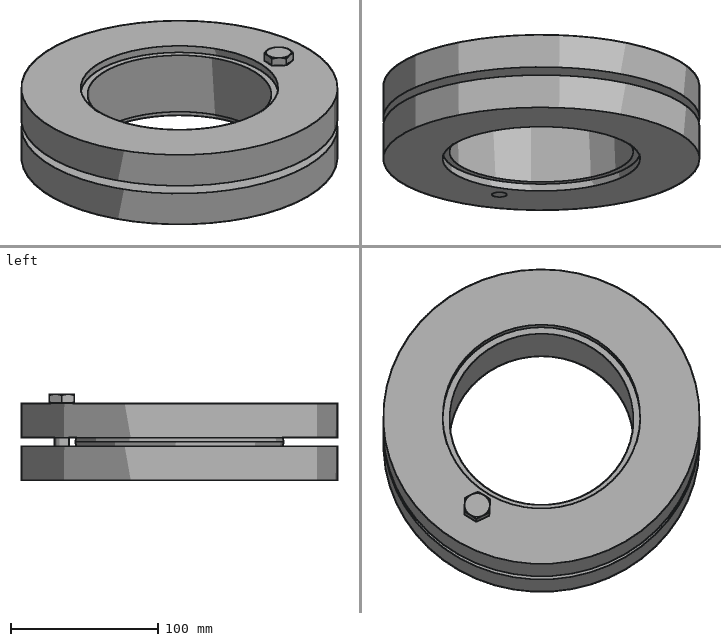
import cadquery as cq
import math

flange_diameter = 215.0
flange_thickness = 23.2
flange_gap = 5.8
upper_flange_base = flange_thickness + flange_gap
stack_height = upper_flange_base + flange_thickness

ring_bore = 125.0
ring_end_diameter = 134.2
ring_ridge_diameter = 141.7
ring_recess = 5.0

screw_y = 80.0
shank_diameter = 10.0
head_width = 17.2
head_corner_diameter = head_width / math.cos(math.radians(30))
head_total_height = 6.2
washer_face_diameter = 15.5
washer_face_height = 0.5
hex_height = head_total_height - washer_face_height
head_chamfer_angle = 30


def double_cone():
    """Solid outer envelope of the sealing ring."""
    end_radius = ring_end_diameter / 2
    ridge_radius = ring_ridge_diameter / 2
    outline = [
        (0, ring_recess),
        (end_radius, ring_recess),
        (ridge_radius, stack_height / 2),
        (end_radius, stack_height - ring_recess),
        (0, stack_height - ring_recess),
    ]
    return cq.Workplane("XZ").polyline(outline).close().revolve(360, (0, 0), (0, 1))


def cylinder(diameter, base, height, y=0):
    """Vertical cylinder centred on x = 0."""
    return cq.Workplane("XY", origin=(0, y, base)).circle(diameter / 2).extrude(height)


def make_flange(base):
    """Flange with a tapered seat for the ring and a hole for the screw."""
    return (
        cylinder(flange_diameter, base, flange_thickness)
        .cut(cylinder(ring_end_diameter, base, flange_thickness))
        .cut(double_cone())
        .cut(cylinder(shank_diameter, base, flange_thickness, screw_y))
    )


def make_ring():
    """Sealing ring with a straight bore."""
    return double_cone().cut(cylinder(ring_bore, 0, stack_height))


def make_head():
    """Hexagon head whose top corners are cut back by a cone."""
    flat_radius = head_width / 2
    corner_radius = head_corner_diameter / 2
    corner_drop = (corner_radius - flat_radius) * math.tan(math.radians(head_chamfer_angle))
    hexagon = (
        cq.Workplane("XY", origin=(0, screw_y, stack_height + washer_face_height))
        .polygon(6, head_corner_diameter)
        .extrude(hex_height)
    )
    envelope = (
        cq.Workplane("XZ", origin=(0, screw_y, stack_height + washer_face_height))
        .polyline([
            (0, 0),
            (corner_radius, 0),
            (corner_radius, hex_height - corner_drop),
            (flat_radius, hex_height),
            (0, hex_height),
        ])
        .close()
        .revolve(360, (0, 0), (0, 1))
    )
    return hexagon.intersect(envelope)


def make_screw():
    """Screw with a washer face under its head and a shank flush with the lower flange."""
    shank = cylinder(shank_diameter, 0, stack_height, screw_y)
    washer_face = cylinder(washer_face_diameter, stack_height, washer_face_height, screw_y)
    return shank.union(washer_face).union(make_head())


flanges = [make_flange(base).val() for base in (0, upper_flange_base)]
ring = make_ring()
screw = make_screw()

result = cq.Compound.makeCompound([*flanges, ring.val(), screw.val()])